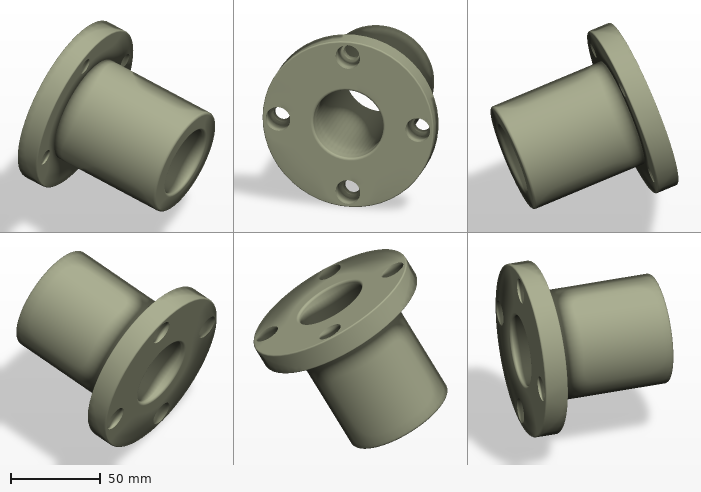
import cadquery as cq
import math

total_length = 80.0
flange_diameter = 98.0
flange_thickness = 13.0
barrel_diameter = 62.0
bore_diameter = 40.0

hole_count = 4
hole_circle_diameter = 80.0
hole_diameter = 9.0
counterbore_diameter = 14.0
counterbore_depth = 8.6

flange_edge_radius = 0.8
barrel_edge_radius = 1.4
bore_edge_radius = 1.4


def cylinder_along_x(diameter, start, length):
    return cq.Workplane("YZ").workplane(offset=start).circle(diameter / 2).extrude(length)


def make_flange():
    flange = cylinder_along_x(flange_diameter, 0, flange_thickness)
    return flange.edges().fillet(flange_edge_radius)


def make_barrel():
    barrel = cylinder_along_x(barrel_diameter, 0, total_length)
    return barrel.faces(">X").edges().fillet(barrel_edge_radius)


def cut_bore(body):
    body = body.cut(cylinder_along_x(bore_diameter, 0, total_length))
    bore_edges = cq.selectors.RadiusNthSelector(0)
    body = body.faces("<X").edges(bore_edges).fillet(bore_edge_radius)
    return body.faces(">X").edges(bore_edges).fillet(bore_edge_radius)


def make_mounting_hole(angle):
    radius = hole_circle_diameter / 2
    hole = cylinder_along_x(hole_diameter, 0, flange_thickness)
    hole = hole.union(cylinder_along_x(counterbore_diameter, 0, counterbore_depth))
    return hole.translate((0, radius * math.cos(angle), radius * math.sin(angle)))


result = cut_bore(make_flange().union(make_barrel()))
for index in range(hole_count):
    result = result.cut(make_mounting_hole(index * 2 * math.pi / hole_count))